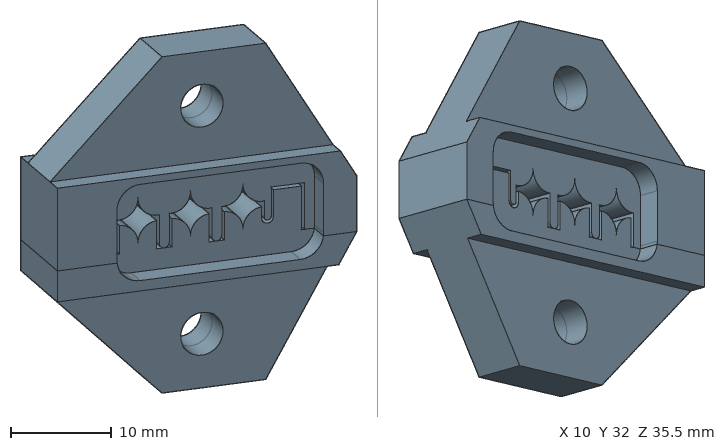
import cadquery as cq
import math


length = 32.0
height = 35.5
mid_z = height / 2
plate_thickness = 6.0
block_thickness = 10.0
parting_z = 15.12

flat_start_y = 11.95
flat_length = 11.08
flat_end_y = flat_start_y + flat_length
block_bottom_z = 11.85
block_top_z = 23.85
far_edge_top_z = 21.0

hole_diameter = 4.5
hole_y = 16.22
hole_offset_z = 12.05

pocket_start_y = 6.35
pocket_length = 22.08
pocket_bottom_z = 12.95
pocket_height = 10.15
pocket_radius = 2.5
pocket_depth = 2.5

cavity_pitch = 5.6
first_cavity_y = 20.8
cavity_count = 3
cavity_ys = [first_cavity_y - i * cavity_pitch for i in range(cavity_count)]
arc_radius = 2.1
upper_apex_z = parting_z + 5.65
lower_apex_z = parting_z + 0.9
upper_half_width = 2.27
lower_half_width = 2.0

post_far_y = 27.05
post_near_y = 24.05
post_top_z = parting_z + 4.6
slot_far_y = 27.37
slot_near_y = 23.82
slot_top_z = parting_z + 4.95

tongue_tip_z = parting_z + 1.5
groove_bottom_z = parting_z + 1.17

tool_margin = 1.78


def prism(sketch, thickness):
    """Extrude a YZ sketch evenly about the mid-plane."""
    return sketch.extrude(thickness / 2, both=True)


def box(y_min, y_max, z_min, z_max, thickness):
    sketch = cq.Workplane("YZ").moveTo((y_min + y_max) / 2, (z_min + z_max) / 2)
    return prism(sketch.rect(y_max - y_min, z_max - z_min), thickness)


def tapered_outline():
    return (
        cq.Workplane("YZ")
        .moveTo(flat_start_y, 0)
        .lineTo(flat_end_y, 0)
        .lineTo(length, parting_z)
        .lineTo(length, far_edge_top_z)
        .lineTo(flat_end_y, height)
        .lineTo(flat_start_y, height)
        .lineTo(0, block_top_z)
        .lineTo(0, block_bottom_z)
        .close()
    )


def make_pocket(side):
    """Cutter for the pocket in the broad face on the given side (-1 or 1) of X."""
    face_x = side * block_thickness / 2
    floor_x = face_x - side * pocket_depth
    return (
        cq.Workplane("YZ", origin=(floor_x, 0, 0))
        .moveTo(pocket_start_y + pocket_length / 2, pocket_bottom_z + pocket_height / 2)
        .rect(pocket_length, pocket_height)
        .extrude(side * (pocket_depth + tool_margin))
        .edges("|X")
        .fillet(pocket_radius)
    )


def make_blank():
    """Both jaws as one closed shape, before the parting cut."""
    plate = prism(tapered_outline(), plate_thickness)
    block_band = box(0, length, block_bottom_z, block_top_z, block_thickness)
    block = prism(tapered_outline(), block_thickness).intersect(block_band)
    hole_points = [(hole_y, mid_z - hole_offset_z), (hole_y, mid_z + hole_offset_z)]
    holes = prism(cq.Workplane("YZ").pushPoints(hole_points).circle(hole_diameter / 2), block_thickness)
    blank = plate.union(block).cut(holes)
    for side in (-1, 1):
        blank = blank.cut(make_pocket(side))
    return blank


def add_round_end(sketch, start_y, end_y, lowest_z):
    """Go down from start_y, around a half circle touching lowest_z, to end_y."""
    radius = abs(start_y - end_y) / 2
    return (
        sketch
        .lineTo(start_y, lowest_z + radius)
        .threePointArc(((start_y + end_y) / 2, lowest_z), (end_y, lowest_z + radius))
    )


def add_crimp_arcs(sketch, center_y, apex_z, rise, half_width):
    """Follow two quarter arcs meeting at an apex; rise is the Z sign from apex to shoulders."""
    bulge = arc_radius * math.sqrt(0.5)
    middle_z = apex_z + rise * bulge
    far_center_y = center_y + arc_radius
    near_center_y = center_y - arc_radius
    inset = max(arc_radius - half_width, 0)
    shoulder_z = apex_z + rise * math.sqrt(arc_radius**2 - inset**2)
    has_flats = half_width > arc_radius
    arc_half_width = arc_radius - inset
    sketch = sketch.lineTo(center_y + half_width, shoulder_z)
    if has_flats:
        sketch = sketch.lineTo(far_center_y, shoulder_z)
    sketch = (
        sketch
        .threePointArc((far_center_y - bulge, middle_z), (center_y, apex_z))
        .threePointArc((near_center_y + bulge, middle_z), (center_y - arc_half_width, shoulder_z))
    )
    if has_flats:
        sketch = sketch.lineTo(center_y - half_width, shoulder_z)
    return sketch


def make_upper_clearance():
    """Space below the upper jaw's working edge, reaching past the parting plane."""
    below_z = parting_z - tool_margin
    sketch = (
        cq.Workplane("YZ")
        .moveTo(slot_far_y, below_z)
        .lineTo(slot_far_y, slot_top_z)
        .lineTo(slot_near_y, slot_top_z)
    )
    tooth_start_y = slot_near_y
    tip_z = tongue_tip_z
    for center_y in cavity_ys:
        sketch = add_round_end(sketch, tooth_start_y, center_y + upper_half_width, tip_z)
        sketch = add_crimp_arcs(sketch, center_y, upper_apex_z, -1, upper_half_width)
        tooth_start_y = center_y - upper_half_width
        tip_z = parting_z
    return prism(sketch.lineTo(tooth_start_y, below_z).close(), block_thickness)


def make_lower_teeth():
    """Post and teeth that stand on the lower jaw above the parting plane."""
    sketch = (
        cq.Workplane("YZ")
        .moveTo(post_far_y, parting_z)
        .lineTo(post_far_y, post_top_z)
        .lineTo(post_near_y, post_top_z)
    )
    sketch = add_round_end(sketch, post_near_y, first_cavity_y + lower_half_width, groove_bottom_z)
    sketch = add_crimp_arcs(sketch, first_cavity_y, lower_apex_z, 1, lower_half_width)
    sketch = sketch.lineTo(first_cavity_y - lower_half_width, parting_z).close()
    teeth = prism(sketch, block_thickness)
    for center_y in cavity_ys[1:]:
        tooth = cq.Workplane("YZ").moveTo(center_y + lower_half_width, parting_z)
        tooth = add_crimp_arcs(tooth, center_y, lower_apex_z, 1, lower_half_width)
        tooth = tooth.lineTo(center_y - lower_half_width, parting_z).close()
        teeth = teeth.union(prism(tooth, block_thickness))
    return teeth


def make_upper_jaw():
    upper_half = box(0, length, parting_z, height, block_thickness)
    return make_blank().intersect(upper_half).cut(make_upper_clearance())


def make_lower_jaw():
    lower_half = box(0, length, 0, parting_z, block_thickness)
    return make_blank().intersect(lower_half.union(make_lower_teeth()))


upper_jaw = make_upper_jaw()
lower_jaw = make_lower_jaw()

result = cq.Compound.makeCompound([upper_jaw.solids().val(), lower_jaw.solids().val()])